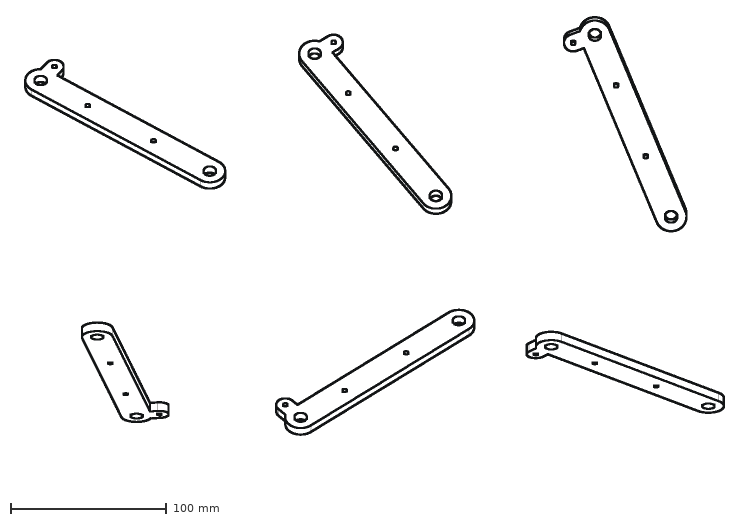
import cadquery as cq

length = 155.0
bar_width = 20.0
thickness = 6.0
pivot_spacing = length - bar_width
left_pivot_x = -pivot_spacing / 2

overall_width = 31.0
tab_width = 12.0
tab_hole_y = overall_width - bar_width / 2 - tab_width / 2

pivot_hole_diameter = 8.0
small_hole_diameter = 3.0
first_small_hole_offset = 37.5
small_hole_spacing = 52.5


def make_bar():
    """Plate with full-radius ends, centred on the origin in X and Y."""
    return cq.Workplane("XY").slot2D(length, bar_width).extrude(thickness)


def make_tab():
    """Straight stem from the pivot centre, finished by a full-radius tip."""
    half_width = tab_width / 2
    return (
        cq.Workplane("XY")
        .moveTo(left_pivot_x - half_width, 0)
        .lineTo(left_pivot_x + half_width, 0)
        .lineTo(left_pivot_x + half_width, tab_hole_y)
        .threePointArc(
            (left_pivot_x, tab_hole_y + half_width),
            (left_pivot_x - half_width, tab_hole_y),
        )
        .close()
        .extrude(thickness)
    )


def make_holes(points, diameter):
    """Cutting cylinders through the full thickness."""
    return cq.Workplane("XY").pushPoints(points).circle(diameter / 2).extrude(thickness)


first_small_hole_x = left_pivot_x + first_small_hole_offset
pivot_points = [(left_pivot_x, 0), (-left_pivot_x, 0)]
small_hole_points = [
    (left_pivot_x, tab_hole_y),
    (first_small_hole_x, 0),
    (first_small_hole_x + small_hole_spacing, 0),
]

result = (
    make_bar()
    .union(make_tab())
    .cut(make_holes(pivot_points, pivot_hole_diameter))
    .cut(make_holes(small_hole_points, small_hole_diameter))
)